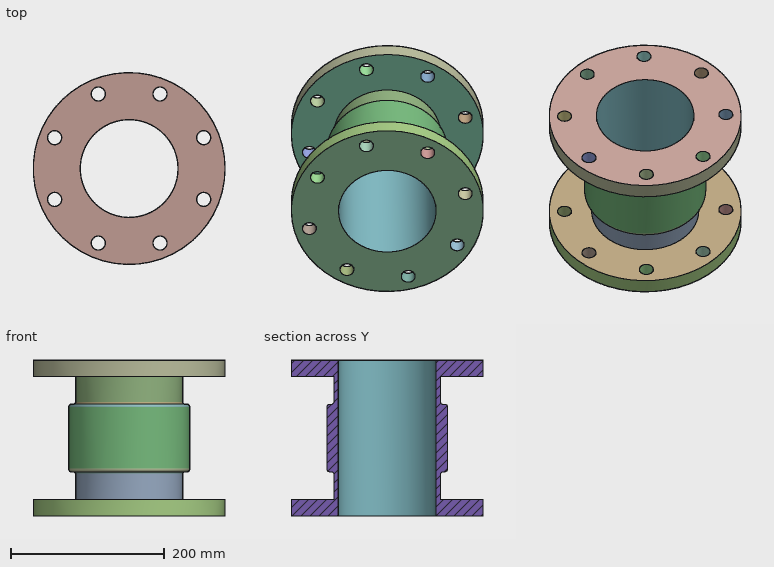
import cadquery as cq

flange_diameter = 250.0
overall_height = 203.0

flange_thickness = 21.5
bolt_hole_count = 8
bolt_hole_diameter = 18.0
bolt_circle_diameter = 210.0
bolt_start_angle = 180 / bolt_hole_count

bore_diameter = 127.0
neck_diameter = 139.8
body_diameter = 158.0
body_height = 88.5
body_edge_radius = 4.0
weld_radius = 2.5


def cylinder(diameter, height, center_z=0):
    """Upright cylinder on the Z axis, centred at height center_z."""
    bottom = cq.Workplane("XY").workplane(offset=center_z - height / 2)
    return bottom.circle(diameter / 2).extrude(height)


def body_with_necks():
    """Rounded central body on the neck tube, joined by concave weld rings."""
    body = cylinder(body_diameter, body_height).edges("%CIRCLE").fillet(body_edge_radius)
    neck = cylinder(neck_diameter, overall_height)
    pipe = body.union(neck)
    shoulders = pipe.faces("|Z").faces(">Z[1] or >Z[2]")
    neck_corners = shoulders.edges(cq.selectors.RadiusNthSelector(0))
    return neck_corners.fillet(weld_radius)


def bolt_holes():
    """Ring of cylinders that cut the bolt holes through both flanges."""
    return (
        cq.Workplane("XY")
        .workplane(offset=-overall_height / 2)
        .polarArray(bolt_circle_diameter / 2, bolt_start_angle, 360, bolt_hole_count)
        .circle(bolt_hole_diameter / 2)
        .extrude(overall_height)
    )


fitting = body_with_necks()
flange_center_z = (overall_height - flange_thickness) / 2
for side in (-1, 1):
    fitting = fitting.union(cylinder(flange_diameter, flange_thickness, side * flange_center_z))

bore = cylinder(bore_diameter, overall_height)
result = fitting.cut(bore).cut(bolt_holes()).clean()